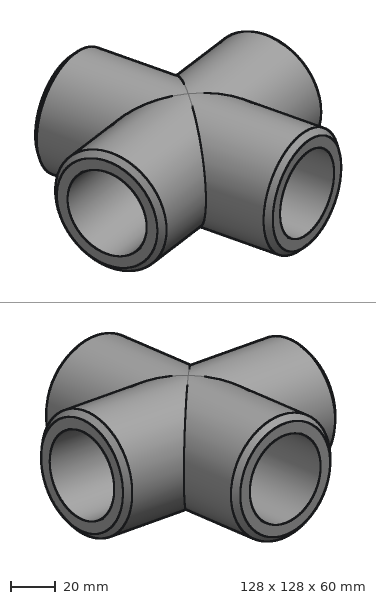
import cadquery as cq

run_length = 128.0
outer_diameter = 60.0
bore_diameter = 42.6
end_chamfer = 3.0


def run_cylinder(plane, diameter):
    """Cylinder centred on the origin, along the normal of the plane."""
    return cq.Workplane(plane).circle(diameter / 2).extrude(run_length / 2, both=True)


def outer_run(plane, end_faces):
    """Solid run with both rims chamfered."""
    return run_cylinder(plane, outer_diameter).faces(end_faces).chamfer(end_chamfer)


body = outer_run("YZ", "|X").union(outer_run("XZ", "|Y"))

bores = run_cylinder("YZ", bore_diameter).union(run_cylinder("XZ", bore_diameter))

result = body.cut(bores)